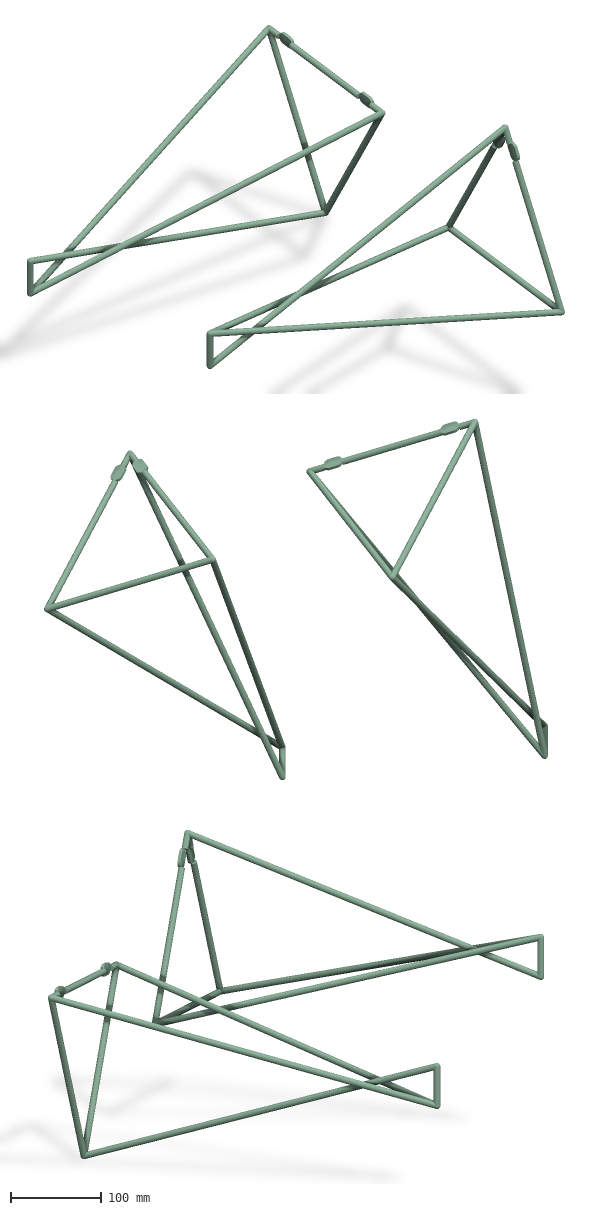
import cadquery as cq
import math

PAIR_WIDTH = 526.0
PAIR_DEPTH = 428.0
PAIR_HEIGHT = 313.5

ROD_DIAMETER = 7.5
BRACKET_WIDTH = 207.5
BRACKET_HEIGHT = 205.0
BRACE_DROP = 110.5
HOOK_RISE = 44.5

EYE_LENGTH = 21.5
EYE_WIDTH = 13.5
EYE_THICKNESS = 3.5
EYE_CORNER = 6.0
EYE_FROM_CORNER = 29.5

ROD_RADIUS = ROD_DIAMETER / 2
HALF_BAR = BRACKET_WIDTH / 2 - ROD_RADIUS
APEX_DROP = BRACKET_HEIGHT - ROD_DIAMETER
REACH = PAIR_DEPTH - ROD_DIAMETER
BRACKET_OFFSET = (PAIR_WIDTH - BRACKET_WIDTH) / 2
BAR_HEIGHT = BRACKET_HEIGHT - ROD_RADIUS - PAIR_HEIGHT / 2

LEFT_CORNER = cq.Vector(-HALF_BAR, 0, 0)
RIGHT_CORNER = cq.Vector(HALF_BAR, 0, 0)
APEX = cq.Vector(0, 0, -APEX_DROP)
BRACE_TIP = cq.Vector(0, -REACH, -BRACE_DROP)
HOOK_BEND = BRACE_TIP + cq.Vector(0, 0, HOOK_RISE)


def bent_rod(points):
    """Round rod along straight runs, with a ball at every bend and end."""
    balls = [cq.Workplane("XY").sphere(ROD_RADIUS).translate(point) for point in points]
    rod = balls[0]
    for start, end, ball in zip(points, points[1:], balls[1:]):
        run = end - start
        length = run.Length
        rod = rod.union(cq.Workplane(cq.Solid.makeCylinder(ROD_RADIUS, length, start, run)))
        rod = rod.union(ball)
    return rod


def place_along(shape, start, end):
    """Turn a shape lying along X in the wall plane and set it on the run from start to end."""
    run = end - start
    angle = math.degrees(math.atan2(run.z, run.x))
    centre = start + run.normalized() * EYE_FROM_CORNER
    return shape.rotate((0, 0, 0), (0, 1, 0), -angle).translate(centre)


def flatten_eye(rod, start, end):
    """Replace a short length of rod by a thin, wider plate flush with its wall side."""
    gap = cq.Workplane("XY").box(EYE_LENGTH, ROD_DIAMETER, EYE_WIDTH)
    plate = (
        cq.Workplane("XY")
        .box(EYE_LENGTH, EYE_THICKNESS, EYE_WIDTH)
        .edges("|Y")
        .fillet(EYE_CORNER)
        .translate((0, ROD_RADIUS - EYE_THICKNESS / 2, 0))
    )
    return rod.cut(place_along(gap, start, end)).union(place_along(plate, start, end))


def wall_triangle(eye_runs):
    """Closed triangle against the wall; each eye run starts at the corner nearest its eye."""
    triangle = bent_rod([LEFT_CORNER, RIGHT_CORNER, APEX])
    triangle = triangle.union(bent_rod([APEX, LEFT_CORNER]))
    for start, end in eye_runs:
        triangle = flatten_eye(triangle, start, end)
    return triangle


def brace(triangle):
    """V-shaped rod from the two bar corners to the front tip, coped onto the triangle."""
    return bent_rod([LEFT_CORNER, BRACE_TIP, RIGHT_CORNER]).cut(triangle)


def hook(triangle, brace_rod):
    """Rod from the apex to the front and back to the brace tip, coped at both ends."""
    return bent_rod([APEX, HOOK_BEND, BRACE_TIP]).cut(triangle).cut(brace_rod)


def bracket(eye_runs):
    triangle = wall_triangle(eye_runs)
    brace_rod = brace(triangle)
    return [triangle, brace_rod, hook(triangle, brace_rod)]


bar_eyes = [(LEFT_CORNER, RIGHT_CORNER), (RIGHT_CORNER, LEFT_CORNER)]
apex_eyes = [(APEX, LEFT_CORNER), (APEX, RIGHT_CORNER)]
lower_place = (-BRACKET_OFFSET, 0, BAR_HEIGHT)
upper_place = (BRACKET_OFFSET, 0, -BAR_HEIGHT)

lower_bracket = [body.translate(lower_place) for body in bracket(bar_eyes)]
upper_bracket = [
    body.rotate((0, 0, 0), (0, 1, 0), 180).translate(upper_place) for body in bracket(apex_eyes)
]

result = cq.Compound.makeCompound([body.solids().val() for body in lower_bracket + upper_bracket])